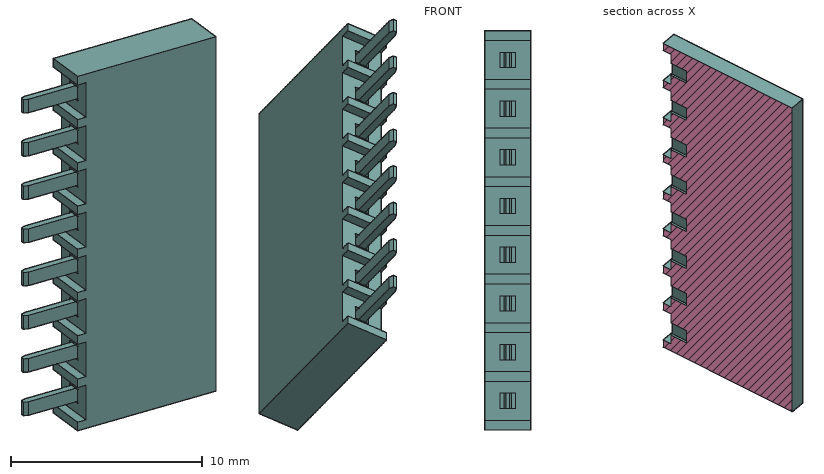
import cadquery as cq

PIN_COUNT = 8
PITCH = 2.54
HOUSING_WIDTH = 2.41
HOUSING_DEPTH = 8.51
RIB_HEIGHT = 0.51
RIB_THICKNESS = 0.51
HOUSING_HEIGHT = PIN_COUNT * PITCH + RIB_THICKNESS

TOTAL_DEPTH = 11.15
PIN_THICKNESS = 0.4
PIN_BREADTH = 0.8
TIP_LENGTH = 0.25
TIP_THICKNESS = 0.2

OPENING_WIDTH = 0.8
OPENING_DEPTH = 1.0

PIN_FACE_Y = RIB_HEIGHT
OPENING_FLOOR_Y = PIN_FACE_Y + OPENING_DEPTH
PIN_TIP_Y = HOUSING_DEPTH - TOTAL_DEPTH
TIP_START_Y = PIN_TIP_Y + TIP_LENGTH

PIN_LEVELS = [(i - (PIN_COUNT - 1) / 2) * PITCH for i in range(PIN_COUNT)]


def block(width, height, y_start, y_end, z_center):
    """Box centred on X = 0 and z_center, running from y_start to y_end."""
    length = y_end - y_start
    center = (0, y_start + length / 2, z_center)
    return cq.Workplane("XY").box(width, length, height).translate(center)


def make_housing():
    """Block with a recess around each pin, leaving ribs between and beyond the pins."""
    housing = block(HOUSING_WIDTH, HOUSING_HEIGHT, 0, HOUSING_DEPTH, 0)
    recess_height = PITCH - RIB_THICKNESS
    for z in PIN_LEVELS:
        housing = housing.cut(block(HOUSING_WIDTH, recess_height, 0, PIN_FACE_Y, z))
        housing = housing.cut(block(OPENING_WIDTH, PIN_BREADTH, PIN_FACE_Y, OPENING_FLOOR_Y, z))
    return housing


def make_pin(z_center):
    """Flat pin standing on the opening floor, tapered on both broad sides at its tip."""
    half_thickness = PIN_THICKNESS / 2
    half_tip = TIP_THICKNESS / 2
    outline = [
        (-half_thickness, OPENING_FLOOR_Y),
        (-half_thickness, TIP_START_Y),
        (-half_tip, PIN_TIP_Y),
        (half_tip, PIN_TIP_Y),
        (half_thickness, TIP_START_Y),
        (half_thickness, OPENING_FLOOR_Y),
    ]
    bottom = z_center - PIN_BREADTH / 2
    return cq.Workplane("XY").workplane(offset=bottom).polyline(outline).close().extrude(PIN_BREADTH)


result = make_housing()
for level in PIN_LEVELS:
    result = result.union(make_pin(level))